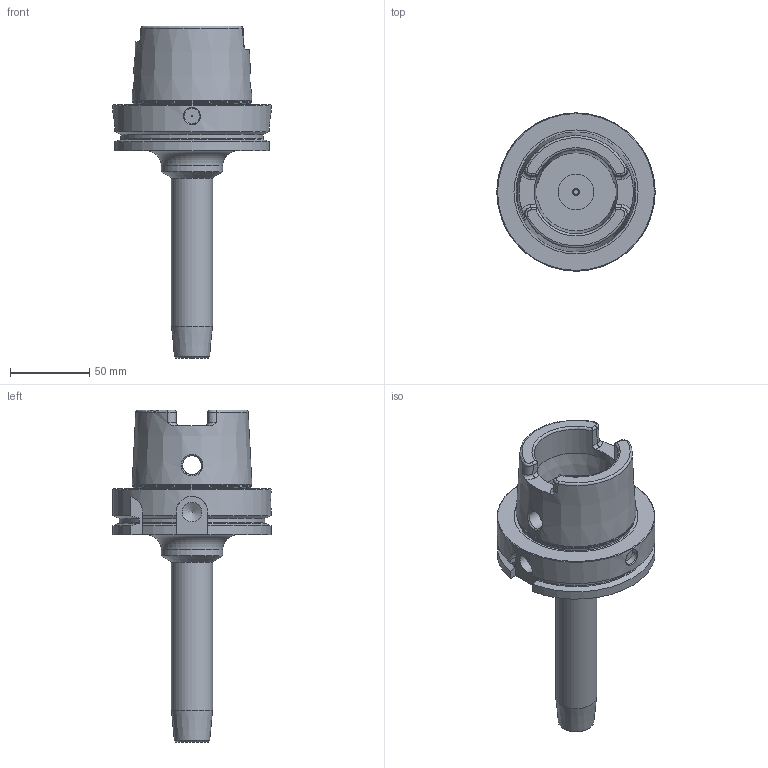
import cadquery as cq
import math

TIP_Z = -160.0

TAPER_TOP_Z = 49.9
TAPER_GAUGE_Z = 10.0
TAPER_GAUGE_DIAMETER = 75.0
TAPER_RATIO = 0.1
RIM_ROUND = 1.4

RELIEF_TOP_Z = 3.0
RELIEF_BOTTOM_Z = -0.6
RELIEF_LAND_DEPTH = 0.35
RELIEF_LAND_BOTTOM_Z = 1.4
RELIEF_SLANT = 0.7
RELIEF_INNER_RADIUS = 37.1
RELIEF_OUTER_RADIUS = 39.2

BORE_RADIUS = 26.5
BORE_CONE_Z = 30.0
BORE_LIP_Z = 14.3
BORE_LIP_RADIUS = 24.75
CHAMBER_RADIUS = 28.5
CHAMBER_FLOOR_Z = 8.5
COOLANT_BORE_DIAMETER = 22.5
COOLANT_BORE_DEPTH = 15.0
CENTRE_HOLE_DIAMETER = 3.0
CENTRE_HOLE_DEPTH = 10.0
CENTRE_HOLE_CHAMFER = 0.6

KEYWAY_WIDTH = 20.0
KEYWAY_CORNER_RADIUS = 4.0
KEYWAY_FLOOR_ROUND = 2.0
KEYWAY_FLOOR_Z = {-1: 40.0, 1: 35.0}

EDGE_TOLERANCE = 0.1
CUTTER_OVERRUN = 1.0

ACCESS_HOLE_Z = 15.0
ACCESS_HOLE_DIAMETER = 12.0
ACCESS_HOLE_CHAMFER = 0.8
ACCESS_MOUTH_ZONE = 2.0

FLANGE_RADIUS = 50.0
FLANGE_BOTTOM_Z = -29.0
FLANGE_EDGE_CHAMFER = 0.4
GROOVE_Z = -20.125
GROOVE_MOUTH_WIDTH = 6.3
GROOVE_ROOT_WIDTH = 3.2
GROOVE_ROOT_RADIUS = 46.0
GROOVE_ROOT_ROUND = 0.6

SLOT_WIDTH = 20.0
SLOT_CENTRE_Z = -14.7
SLOT_FLOOR_X = 44.0
NOTCH_FLOOR_X = 31.8
NOTCH_CENTRE_Y = 41.2

SLOT_HOLE_DIAMETER = 12.4
SLOT_HOLE_DEPTH = 6.0
DRILL_POINT_ANGLE = 118.0

CARRIER_HOLE_Z = -7.0
CARRIER_HOLE_DIAMETER = 10.0
CARRIER_HOLE_DEPTH = 4.6
CARRIER_HOLE_CHAMFER = 0.6
CARRIER_CENTRE_DIAMETER = 1.0
CARRIER_CENTRE_DEPTH = 1.0

COLLAR_RADIUS = 19.5
COLLAR_FILLET = 9.3
COLLAR_BOTTOM_Z = -42.3
NECK_RADIUS = 13.0
NECK_TOP_Z = -46.2
NOSE_LENGTH = 20.0
NOSE_TIP_RADIUS = 11.2
NOSE_CHAMFER = 1.0


def taper_radius(z):
    return (TAPER_GAUGE_DIAMETER - TAPER_RATIO * (z - TAPER_GAUGE_Z)) / 2


def holder_body():
    land_radius = taper_radius(RELIEF_TOP_Z) - RELIEF_LAND_DEPTH
    groove_mouth = GROOVE_MOUTH_WIDTH / 2
    groove_root = GROOVE_ROOT_WIDTH / 2
    fillet_turn = COLLAR_FILLET * (1 - math.sqrt(0.5))
    profile = (
        cq.Workplane("YZ")
        .moveTo(0, TIP_Z)
        .lineTo(NOSE_TIP_RADIUS - NOSE_CHAMFER, TIP_Z)
        .lineTo(NOSE_TIP_RADIUS, TIP_Z + NOSE_CHAMFER)
        .lineTo(NECK_RADIUS, TIP_Z + NOSE_LENGTH)
        .lineTo(NECK_RADIUS, NECK_TOP_Z)
        .lineTo(COLLAR_RADIUS, COLLAR_BOTTOM_Z)
        .lineTo(COLLAR_RADIUS, FLANGE_BOTTOM_Z - COLLAR_FILLET)
        .threePointArc(
            (COLLAR_RADIUS + fillet_turn, FLANGE_BOTTOM_Z - fillet_turn),
            (COLLAR_RADIUS + COLLAR_FILLET, FLANGE_BOTTOM_Z),
        )
        .lineTo(FLANGE_RADIUS, FLANGE_BOTTOM_Z)
        .lineTo(FLANGE_RADIUS, GROOVE_Z - groove_mouth)
        .lineTo(GROOVE_ROOT_RADIUS, GROOVE_Z - groove_root)
        .lineTo(GROOVE_ROOT_RADIUS, GROOVE_Z + groove_root)
        .lineTo(FLANGE_RADIUS, GROOVE_Z + groove_mouth)
        .lineTo(FLANGE_RADIUS, -FLANGE_EDGE_CHAMFER)
        .lineTo(FLANGE_RADIUS - FLANGE_EDGE_CHAMFER, 0)
        .lineTo(RELIEF_OUTER_RADIUS, 0)
        .lineTo(RELIEF_OUTER_RADIUS, RELIEF_BOTTOM_Z)
        .lineTo(RELIEF_INNER_RADIUS, RELIEF_BOTTOM_Z)
        .lineTo(RELIEF_INNER_RADIUS, RELIEF_LAND_BOTTOM_Z - RELIEF_SLANT)
        .lineTo(land_radius, RELIEF_LAND_BOTTOM_Z)
        .lineTo(land_radius, RELIEF_TOP_Z - RELIEF_SLANT)
        .lineTo(taper_radius(RELIEF_TOP_Z), RELIEF_TOP_Z)
        .lineTo(taper_radius(TAPER_TOP_Z), TAPER_TOP_Z)
        .lineTo(BORE_RADIUS, TAPER_TOP_Z)
        .lineTo(BORE_RADIUS, BORE_CONE_Z)
        .lineTo(BORE_LIP_RADIUS, BORE_LIP_Z)
        .lineTo(CHAMBER_RADIUS, BORE_LIP_Z)
        .lineTo(CHAMBER_RADIUS, CHAMBER_FLOOR_Z)
        .lineTo(0, CHAMBER_FLOOR_Z)
        .close()
    )
    body = profile.revolve(360, (0, 0, 0), (0, 1, 0))
    root_reach = groove_root + EDGE_TOLERANCE
    root_circles = cq.selectors.BoxSelector(
        (-EDGE_TOLERANCE, -EDGE_TOLERANCE, GROOVE_Z - root_reach),
        (EDGE_TOLERANCE, EDGE_TOLERANCE, GROOVE_Z + root_reach),
    )
    return body.edges(root_circles).fillet(GROOVE_ROOT_ROUND)


def cut_keyways(body):
    """Keyways across the taper's end wall, with rounded mouths, floors and rim."""
    for side, floor_z in KEYWAY_FLOOR_Z.items():
        depth = TAPER_TOP_Z - floor_z
        keyway = cq.Workplane("XY").box(FLANGE_RADIUS, KEYWAY_WIDTH, depth)
        body = body.cut(keyway.translate((side * FLANGE_RADIUS / 2, 0, floor_z + depth / 2)))

    half_width = KEYWAY_WIDTH / 2
    wall_reach = half_width + EDGE_TOLERANCE
    for side, floor_z in KEYWAY_FLOOR_Z.items():
        outer_x = [side * BORE_RADIUS, side * FLANGE_RADIUS]
        mouth_zone = cq.selectors.BoxSelector(
            (min(outer_x), -wall_reach, floor_z + EDGE_TOLERANCE),
            (max(outer_x), wall_reach, TAPER_TOP_Z - EDGE_TOLERANCE),
        )
        body = body.edges(mouth_zone).fillet(KEYWAY_CORNER_RADIUS)
    for side, floor_z in KEYWAY_FLOOR_Z.items():
        floor_x = [0, side * FLANGE_RADIUS]
        floor_zone = cq.selectors.BoxSelector(
            (min(floor_x), -wall_reach, floor_z - EDGE_TOLERANCE),
            (max(floor_x), wall_reach, floor_z + EDGE_TOLERANCE),
        )
        body = body.edges(floor_zone).edges("|X").fillet(KEYWAY_FLOOR_ROUND)
    return body.faces(">Z").edges().fillet(RIM_ROUND)


def turned_cutter(outline, mouth, direction):
    """Round cutter from (depth, radius) points, with its axis running from the mouth along direction."""
    plane = cq.Plane(origin=mouth, normal=direction)
    first_depth = outline[0][0]
    last_depth, last_radius = outline[-1]
    points = [(0, first_depth)]
    points += [(radius, depth) for depth, radius in outline]
    if last_radius > 0:
        points.append((0, last_depth))
    profile = cq.Workplane("XZ").polyline(points).close()
    cutter = profile.revolve(360, (0, 0, 0), (0, 1, 0))
    return cq.Workplane(cutter.val().moved(plane.location))


def drill_access_holes(body):
    """Cross hole through both taper walls, with chamfered outer mouths."""
    drill = (
        cq.Workplane("YZ", origin=(0, 0, ACCESS_HOLE_Z))
        .circle(ACCESS_HOLE_DIAMETER / 2)
        .extrude(FLANGE_RADIUS, both=True)
    )
    body = body.cut(drill)
    half_size = ACCESS_HOLE_DIAMETER / 2 + EDGE_TOLERANCE
    outer_x = taper_radius(ACCESS_HOLE_Z)
    for side in (-1, 1):
        mouth_x = [side * (outer_x - ACCESS_MOUTH_ZONE), side * (outer_x + ACCESS_MOUTH_ZONE)]
        mouth_zone = cq.selectors.BoxSelector(
            (min(mouth_x), -half_size, ACCESS_HOLE_Z - half_size),
            (max(mouth_x), half_size, ACCESS_HOLE_Z + half_size),
            boundingbox=True,
        )
        body = body.edges(mouth_zone).chamfer(ACCESS_HOLE_CHAMFER)
    return body


def round_topped_slot(floor_x, centre_y, side):
    """Slot open toward the side and downward, with a flat floor facing along X."""
    length = FLANGE_RADIUS
    centre_x = side * (floor_x + length / 2)
    height = SLOT_CENTRE_Z - FLANGE_BOTTOM_Z
    head = (
        cq.Workplane("YZ", origin=(centre_x, centre_y, SLOT_CENTRE_Z))
        .circle(SLOT_WIDTH / 2)
        .extrude(length / 2, both=True)
    )
    leg = cq.Workplane("XY").box(length, SLOT_WIDTH, height)
    leg = leg.translate((centre_x, centre_y, SLOT_CENTRE_Z - height / 2))
    return head.union(leg)


def cut_flange_slots(body):
    for side in (-1, 1):
        body = body.cut(round_topped_slot(SLOT_FLOOR_X, 0, side))
    return body.cut(round_topped_slot(NOTCH_FLOOR_X, NOTCH_CENTRE_Y, -1))


def drill_slot_hole(body):
    radius = SLOT_HOLE_DIAMETER / 2
    point_length = radius / math.tan(math.radians(DRILL_POINT_ANGLE / 2))
    outline = [
        (-CUTTER_OVERRUN, radius),
        (SLOT_HOLE_DEPTH, radius),
        (SLOT_HOLE_DEPTH + point_length, 0),
    ]
    return body.cut(turned_cutter(outline, (-SLOT_FLOOR_X, 0, SLOT_CENTRE_Z), (1, 0, 0)))


def drill_carrier_hole(body):
    radius = CARRIER_HOLE_DIAMETER / 2
    centre_radius = CARRIER_CENTRE_DIAMETER / 2
    outline = [
        (-CUTTER_OVERRUN, radius + CARRIER_HOLE_CHAMFER + CUTTER_OVERRUN),
        (CARRIER_HOLE_CHAMFER, radius),
        (CARRIER_HOLE_DEPTH, radius),
        (CARRIER_HOLE_DEPTH, centre_radius),
        (CARRIER_HOLE_DEPTH + CARRIER_CENTRE_DEPTH, centre_radius),
    ]
    return body.cut(turned_cutter(outline, (0, -FLANGE_RADIUS, CARRIER_HOLE_Z), (0, 1, 0)))


def drill_coolant_bore(body):
    bore_radius = COOLANT_BORE_DIAMETER / 2
    hole_radius = CENTRE_HOLE_DIAMETER / 2
    outline = [
        (-CUTTER_OVERRUN, bore_radius),
        (COOLANT_BORE_DEPTH, bore_radius),
        (COOLANT_BORE_DEPTH, hole_radius + CENTRE_HOLE_CHAMFER),
        (COOLANT_BORE_DEPTH + CENTRE_HOLE_CHAMFER, hole_radius),
        (COOLANT_BORE_DEPTH + CENTRE_HOLE_DEPTH, hole_radius),
    ]
    return body.cut(turned_cutter(outline, (0, 0, CHAMBER_FLOOR_Z), (0, 0, -1)))


result = drill_access_holes(holder_body())
result = cut_flange_slots(result)
result = drill_slot_hole(result)
result = drill_carrier_hole(result)
result = drill_coolant_bore(result)
result = cut_keyways(result)